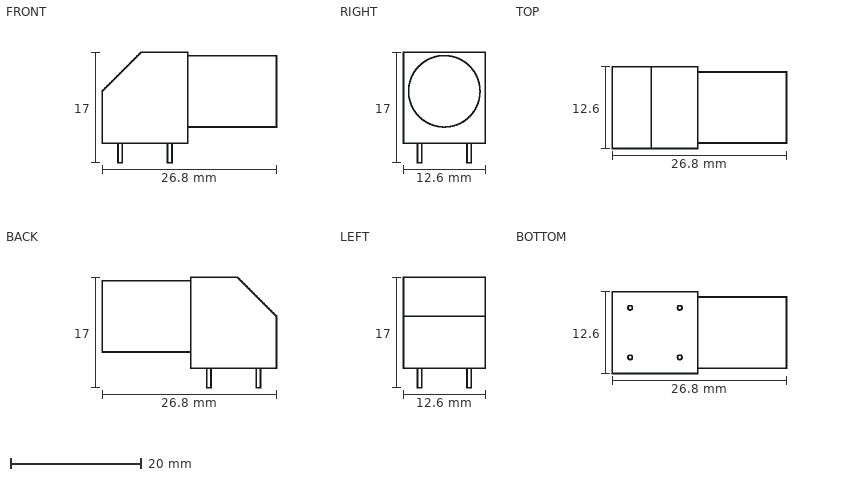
import cadquery as cq

total_length = 26.8
total_height = 17.0

body_length = 13.19
body_width = 12.6
body_height = 14.0
slope_size = 6.0

barrel_diameter = 11.0
barrel_axis_height = 7.99
barrel_length = total_length - body_length

pin_diameter = 0.7
pin_length = total_height - body_height
pin_spacing = 7.6


def make_body():
    """Housing, rear face at X = 0 and underside at Z = 0, centred on Y."""
    profile = [
        (0, 0),
        (body_length, 0),
        (body_length, body_height),
        (slope_size, body_height),
        (0, body_height - slope_size),
    ]
    return cq.Workplane("XZ").polyline(profile).close().extrude(body_width / 2, both=True)


def make_barrel():
    """Solid cylinder running along +X from the front of the housing."""
    return (
        cq.Workplane("YZ", origin=(body_length, 0, barrel_axis_height))
        .circle(barrel_diameter / 2)
        .extrude(barrel_length)
    )


def make_pins():
    """Pins hanging below the underside of the housing."""
    return (
        cq.Workplane("XY", origin=(body_length / 2, 0, 0))
        .rarray(pin_spacing, pin_spacing, 2, 2)
        .circle(pin_diameter / 2)
        .extrude(-pin_length)
    )


result = make_body().union(make_barrel()).union(make_pins())